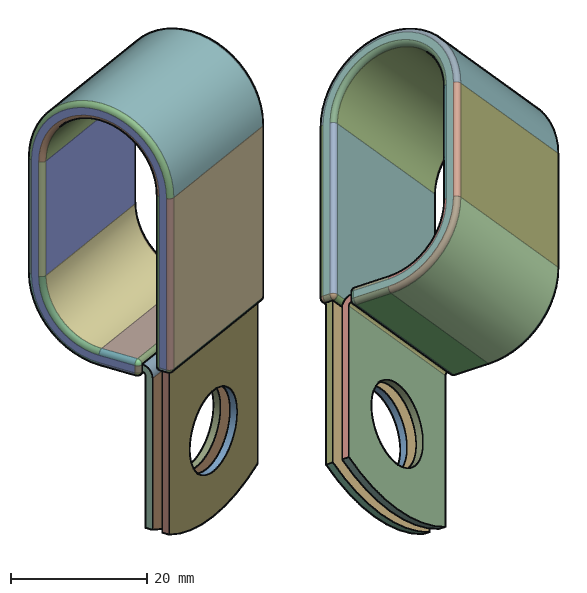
import cadquery as cq
import math

total_height = 71.85
jacket_width = 27.0
loop_outer_diameter = 24.65

jacket_cover = 0.8
strap_thickness = 1.2
strap_width = 25.35
jacket_thickness = strap_thickness + 2 * jacket_cover
edge_radius = jacket_cover
mid_radius = (loop_outer_diameter - jacket_thickness) / 2

upper_center_z = total_height - loop_outer_diameter / 2
lower_center_z = 40.4
loop_floor_z = lower_center_z - mid_radius
jacket_long_end_z = loop_floor_z + strap_thickness / 2
jacket_short_end_x = 6.9

bend_inner_radius = 0.6
bend_mid_radius = bend_inner_radius + strap_thickness / 2
tab_mid_x = jacket_short_end_x + bend_mid_radius

hole_diameter = 13.5
hole_z = 14.3
tab_corner_z = 2.9


def loop_band(thickness, long_end_z, short_end_x, width):
    """Band of constant thickness following the loop, centred on Y = 0."""
    outer = mid_radius + thickness / 2
    inner = mid_radius - thickness / 2
    diagonal = math.sqrt(0.5)
    outline = (
        cq.Workplane("XZ")
        .moveTo(outer, long_end_z)
        .lineTo(outer, upper_center_z)
        .threePointArc((0, upper_center_z + outer), (-outer, upper_center_z))
        .lineTo(-outer, lower_center_z)
        .threePointArc((-outer * diagonal, lower_center_z - outer * diagonal), (0, lower_center_z - outer))
        .lineTo(short_end_x, lower_center_z - outer)
        .lineTo(short_end_x, lower_center_z - inner)
        .lineTo(0, lower_center_z - inner)
        .threePointArc((-inner * diagonal, lower_center_z - inner * diagonal), (-inner, lower_center_z))
        .lineTo(-inner, upper_center_z)
        .threePointArc((0, upper_center_z + inner), (inner, upper_center_z))
        .lineTo(inner, long_end_z)
        .close()
    )
    return outline.extrude(width / 2, both=True)


def make_jacket():
    """Cushion with rounded side rims and rounded ends."""
    band = loop_band(jacket_thickness, jacket_long_end_z, jacket_short_end_x, jacket_width)
    side_rims = band.faces("<Y or >Y").edges()
    long_end = band.faces(cq.selectors.NearestToPointSelector((mid_radius, 0, jacket_long_end_z))).edges("|Y")
    short_end = band.faces(cq.selectors.NearestToPointSelector((jacket_short_end_x, 0, loop_floor_z))).edges("|Y")
    return side_rims.add(long_end).add(short_end).fillet(edge_radius)


def make_tab_bend():
    """Quarter turn joining the loop floor to the short tab."""
    bend_center_z = loop_floor_z - bend_mid_radius
    ring = (
        cq.Workplane("XZ", origin=(jacket_short_end_x, strap_width / 2, bend_center_z))
        .circle(bend_mid_radius + strap_thickness / 2)
        .circle(bend_inner_radius)
        .extrude(strap_width)
    )
    size = bend_mid_radius + strap_thickness
    quadrant = cq.Workplane("XY").box(size, strap_width, size, centered=(False, True, False))
    return ring.intersect(quadrant.translate((jacket_short_end_x, 0, bend_center_z)))


def make_tab(mid_x, top_z):
    """Flat tab with a bolt hole and a bowed lower end."""
    half_width = strap_width / 2
    plate = (
        cq.Workplane("YZ", origin=(mid_x, 0, 0))
        .moveTo(-half_width, top_z)
        .lineTo(-half_width, tab_corner_z)
        .threePointArc((0, 0), (half_width, tab_corner_z))
        .lineTo(half_width, top_z)
        .close()
        .extrude(strap_thickness / 2, both=True)
    )
    hole_plane = cq.Workplane("YZ", origin=(mid_x - strap_thickness, 0, hole_z))
    hole = hole_plane.circle(hole_diameter / 2).extrude(2 * strap_thickness)
    return plate.cut(hole)


strap_loop = loop_band(strap_thickness, jacket_long_end_z, jacket_short_end_x, strap_width)
long_tab = make_tab(mid_radius, jacket_long_end_z)
short_tab = make_tab(tab_mid_x, loop_floor_z - bend_mid_radius)

result = make_jacket().union(strap_loop).union(make_tab_bend()).union(long_tab).union(short_tab)